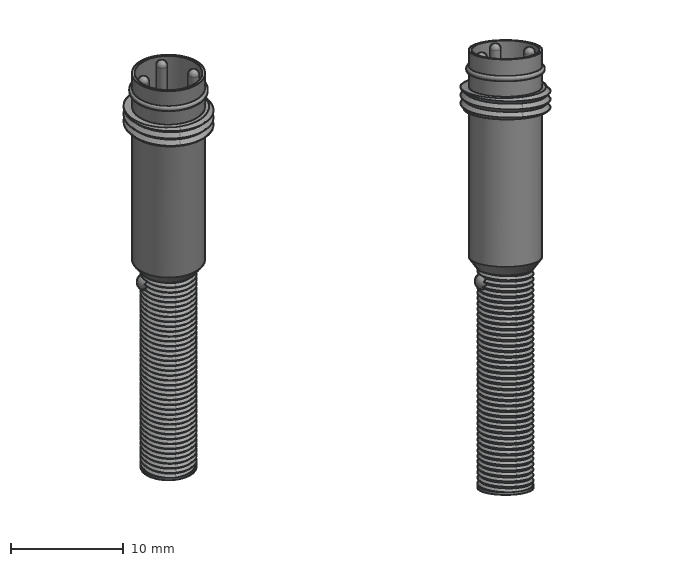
import cadquery as cq
import math

total_length = 40.25
body_diameter = 6.5
body_radius = body_diameter / 2
body_length = 19.05
body_bottom = total_length - body_length
cone_height = 1.0
tail_length = body_bottom - cone_height

socket_diameter = 6.0
socket_depth = 4.0
pin_radius = 0.5
pin_circle_radius = 2.3
pin_sink = 0.5
pin_angles = (90, 180, 270)

ring_depth = 1.75
ring_section_radius = 0.25

coupling_diameter = 8.0
coupling_pitch = 0.75
coupling_length = 2.0
coupling_depth = 3.4
coupling_bottom = total_length - coupling_depth - coupling_length
coupling_crest_z = coupling_bottom + coupling_length / 2

tail_diameter = 5.0
tail_pitch = 0.5
tail_crest_z = tail_pitch / 2
end_disc_thickness = 0.25

lamp_radius = 0.75
lamp_depth = 21.05
lamp_z = total_length - lamp_depth
lamp_reach = 2.9

flank_angle = 30
thread_depth_ratio = 5 / 8 * math.cos(math.radians(flank_angle))
spare_turns = 2


def screw_profile(diameter, pitch):
    """(radius, height) corners of one V-shaped ridge, with its crest at height 0."""
    crest_radius = diameter / 2
    root_radius = crest_radius - thread_depth_ratio * pitch
    return [(root_radius, -pitch / 2), (crest_radius, 0), (root_radius, pitch / 2)]


def helix_turn(radius, pitch, z):
    """One left-hand turn that starts on the +X side at height z."""
    wire = cq.Wire.makeHelix(pitch, pitch, radius, lefthand=True)
    return wire.translate(cq.Vector(0, 0, z)).Edges()[0]


def screw_end(profile, pitch, z):
    """Helicoid and flat step that close the screw skin where its ridge profile sits at height z."""
    root_radius, root_height = profile[0]
    low = z + root_height
    axis_low = cq.Vector(0, 0, low)
    axis_high = cq.Vector(0, 0, low + pitch)
    axis = cq.Edge.makeLine(axis_low, axis_high)
    helicoid = cq.Face.makeRuledSurface(axis, helix_turn(root_radius, pitch, low))
    ridge = [cq.Vector(radius, 0, z + height) for radius, height in profile]
    step = cq.Face.makeFromWires(cq.Wire.makePolygon([axis_low, *ridge, axis_high], close=True))
    return [helicoid, step]


def threaded_rod(diameter, pitch, bottom, length, crest_z):
    """Left-hand threaded rod with flat ends and a crest on the +X side at crest_z.

    The screw is built one turn at a time, longer than needed, and then trimmed to length.
    """
    profile = screw_profile(diameter, pitch)
    first = crest_z - pitch * (math.ceil((crest_z - bottom) / pitch) + spare_turns)
    turns = math.ceil((bottom + length - first) / pitch) + spare_turns
    helices = [helix_turn(radius, pitch, height) for radius, height in profile]
    flanks = [cq.Face.makeRuledSurface(lower, upper) for lower, upper in zip(helices, helices[1:])]
    faces = screw_end(profile, pitch, first)
    for turn in range(turns):
        rise = cq.Vector(0, 0, first + turn * pitch)
        faces += [flank.translate(rise) for flank in flanks]
    faces += screw_end(profile, pitch, first + turns * pitch)
    screw = cq.Solid.makeSolid(cq.Shell.makeShell(faces))
    envelope = cq.Workplane("XY").workplane(offset=bottom).circle(diameter).extrude(length)
    return envelope.intersect(cq.Workplane(screw))


def body():
    """Plain barrel that tapers down to the tail diameter."""
    outline = cq.Workplane("XZ").moveTo(0, tail_length).lineTo(tail_diameter / 2, tail_length)
    outline = outline.lineTo(body_radius, body_bottom).lineTo(body_radius, total_length)
    return outline.lineTo(0, total_length).close().revolve(360, (0, 0), (0, 1))


def retaining_ring():
    center_z = total_length - ring_depth
    outline = cq.Workplane("XZ").moveTo(0, center_z - ring_section_radius)
    outline = outline.lineTo(body_radius, center_z - ring_section_radius)
    outline = outline.threePointArc(
        (body_radius + ring_section_radius, center_z),
        (body_radius, center_z + ring_section_radius),
    )
    return outline.lineTo(0, center_z + ring_section_radius).close().revolve(360, (0, 0), (0, 1))


def socket():
    mouth = cq.Workplane("XY").workplane(offset=total_length).circle(socket_diameter / 2)
    return mouth.extrude(-socket_depth)


def contact_pin(angle):
    """Round-tipped pin standing on the socket floor, level with the rim."""
    x = pin_circle_radius * math.cos(math.radians(angle))
    y = pin_circle_radius * math.sin(math.radians(angle))
    tip_center = total_length - pin_radius
    floor = total_length - socket_depth - pin_sink
    shank = cq.Workplane("XY").circle(pin_radius).extrude(tip_center - floor).translate((x, y, floor))
    tip = cq.Workplane("XY").sphere(pin_radius).translate((x, y, tip_center))
    return shank.union(tip)


def lamp():
    return cq.Workplane("XZ").sphere(lamp_radius).translate((0, lamp_radius - lamp_reach, lamp_z))


def end_disc():
    """Plain disc that closes the tail end."""
    return cq.Workplane("XY").circle(tail_diameter / 2).extrude(end_disc_thickness)


tail = threaded_rod(tail_diameter, tail_pitch, 0, tail_length, tail_crest_z)
coupling = threaded_rod(coupling_diameter, coupling_pitch, coupling_bottom, coupling_length, coupling_crest_z)
part = body().union(coupling).union(retaining_ring()).cut(socket())
for pin_angle in pin_angles:
    part = part.union(contact_pin(pin_angle))
part = part.union(tail).union(end_disc()).union(lamp())
result = cq.Workplane(part.solids().val())